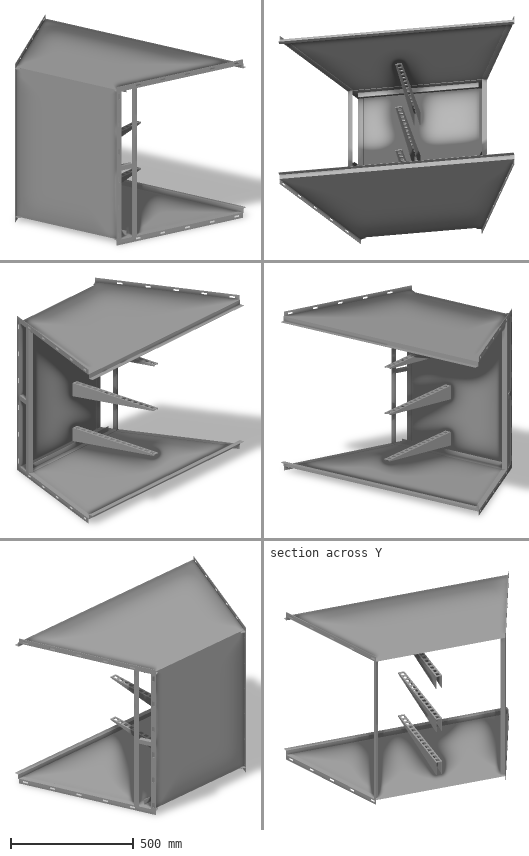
import cadquery as cq
import math

width = 977.0
depth = 593.0
height = 688.0

sheet = 1.0
steel = 2.0
leg = 22.0

front_y = -depth / 2
rear_y = depth / 2
flange_rear_y = 273.0
tip_half_width = 252.0
slant = math.atan2(width / 2 - tip_half_width, flange_rear_y - front_y)
inward = (math.cos(slant), math.sin(slant), 0)
forward = (math.sin(slant), -math.cos(slant), 0)


def side_x(y):
    """X of the left slanted side plane at a given Y."""
    return -tip_half_width - (y - front_y) * math.tan(slant)


frame_z = height / 2 - leg
sheet_inside = frame_z + steel
sheet_top = sheet_inside + sheet
frame_y = front_y + leg * math.cos(slant)
panel_back = frame_y - steel
panel_front = panel_back - sheet
lip_depth = 21.0
lip_front = rear_y - lip_depth

slot_length = 23.0
slot_width = 8.0
slot_pitch = 120.0
slot_offset = 11.0
side_slots = 5
front_slots = 6
first_slot_y = 245.0

post_leg = 21.5
post_rear_y = -206.0
mid_bar_leg = 20.0
mid_bar_top = -3.0
bar_rear_y = -203.0
bar_front_y = -227.0
bar_web_half_length = 251.0

arm_root_y = -198.0
arm_width = 27.0
arm_end_y = 231.5
arm_top_middle = -10.0
arm_pitch = 200.0
arm_tip_height = 6.0
arm_root_height = 59.0
arm_wall = 3.0
arm_slot_pitch = 30.0
arm_slot_length = 20.0
arm_slot_width = 15.0
arm_slots = 14


def angle_bar(plane, leg_x, leg_y, length):
    """L-section bar with its corner on the plane's origin; the sign of leg_y picks its side."""
    wall_y = math.copysign(steel, leg_y)
    outline = [(0, 0), (leg_x, 0), (leg_x, wall_y), (steel, wall_y), (steel, leg_y), (0, leg_y)]
    return cq.Workplane(plane).polyline(outline).close().extrude(length)


def sheet_x(y):
    """X of the left edge of the sheets, which fit between the outer legs of the flange bars."""
    return side_x(y) + steel / math.cos(slant)


def span(y_min, y_max):
    """Block as wide and tall as the part between two Y values, for trimming bar ends."""
    return cq.Workplane("XY").box(width, y_max - y_min, height).translate((0, (y_min + y_max) / 2, 0))


def make_top_sheet():
    half = width / 2
    left_edge = [(sheet_x(panel_front), panel_front), (sheet_x(flange_rear_y), flange_rear_y),
                 (-half, flange_rear_y), (-half, lip_front + sheet)]
    right_edge = [(-x, y) for x, y in reversed(left_edge)]
    outline = left_edge + right_edge
    plate = cq.Workplane("XY").workplane(offset=sheet_inside).polyline(outline).close().extrude(sheet)
    riser = (cq.Workplane("XY").box(width, sheet, lip_depth, centered=(True, False, False))
             .translate((0, lip_front, sheet_top - lip_depth)))
    tread = (cq.Workplane("XY").box(width, lip_depth, sheet, centered=(True, False, False))
             .translate((0, lip_front, sheet_top - lip_depth)))
    return plate.union(riser).union(tread)


def make_front_panel():
    return (cq.Workplane("XY").workplane(offset=-sheet_inside)
            .polyline([(sheet_x(panel_front), panel_front), (-sheet_x(panel_front), panel_front),
                       (-sheet_x(panel_back), panel_back), (sheet_x(panel_back), panel_back)]).close()
            .extrude(2 * sheet_inside))


def make_top_flange():
    overrun = leg
    start = cq.Vector(-width / 2, flange_rear_y, frame_z) - cq.Vector(*forward) * overrun
    length = (flange_rear_y - front_y) / math.cos(slant) + overrun
    bar = angle_bar(cq.Plane(start, inward, forward), leg, leg, length)
    bar = bar.intersect(span(-depth, flange_rear_y))
    for i in range(side_slots):
        y = first_slot_y - i * slot_pitch * math.cos(slant)
        face = cq.Plane((side_x(y), y, frame_z + slot_offset), forward, inward)
        bar = bar.cut(cq.Workplane(face).rect(slot_length, slot_width).extrude(2 * steel, both=True))
    return bar


def make_front_flange():
    corner_x = side_x(frame_y)
    tip = (side_x(front_y), front_y)
    tip_inside = (tip[0] + steel * inward[0], tip[1] + steel * inward[1])
    crook_y = frame_y - steel
    crook = (side_x(crook_y) + steel / math.cos(slant), crook_y)
    outline = [(corner_x, frame_y), tip, tip_inside, crook,
               (corner_x + leg, crook_y), (corner_x + leg, frame_y)]
    bar = cq.Workplane("XY").workplane(offset=-frame_z).polyline(outline).close().extrude(2 * frame_z)
    slot_y = (front_y + frame_y) / 2
    for i in range(front_slots):
        z = (i - (front_slots - 1) / 2) * slot_pitch
        face = cq.Plane((side_x(slot_y), slot_y, z), forward, inward)
        bar = bar.cut(cq.Workplane(face).rect(slot_width, slot_length).extrude(2 * steel, both=True))
    return bar


def make_post():
    corner = (side_x(post_rear_y), post_rear_y, -frame_z)
    return angle_bar(cq.Plane(corner, inward, (0, 0, 1)), post_leg, -post_leg, 2 * frame_z)


def make_mid_bar():
    start_y = post_rear_y - post_leg * math.cos(slant)
    start = (side_x(start_y), start_y, mid_bar_top)
    length = start_y - front_y
    bar = angle_bar(cq.Plane(start, inward, forward), mid_bar_leg, -mid_bar_leg, length)
    return bar.intersect(span(frame_y, flange_rear_y))


def make_side_frame():
    top = make_top_flange()
    flanges = top.union(top.mirror("XY")).union(make_front_flange())
    return flanges.union(make_post()).union(make_mid_bar())


def make_bottom_crossbar():
    inset = leg / math.cos(slant)
    front_x = side_x(bar_front_y) + inset
    rear_x = side_x(bar_rear_y) + inset
    foot = (cq.Workplane("XY").workplane(offset=-sheet_inside)
            .polyline([(front_x, bar_front_y), (-front_x, bar_front_y),
                       (-rear_x, bar_rear_y), (rear_x, bar_rear_y)]).close()
            .extrude(steel))
    web = (cq.Workplane("XY").box(2 * bar_web_half_length, steel, leg, centered=(True, False, False))
           .translate((0, bar_front_y, -sheet_inside)))
    return foot.union(web)


def make_arm(top_z):
    tip_z = top_z - arm_tip_height
    root_z = top_z - arm_root_height
    side = [(arm_root_y, top_z), (arm_end_y, top_z), (arm_end_y, tip_z), (arm_root_y, root_z)]
    arm = cq.Workplane("YZ").polyline(side).close().extrude(arm_width / 2, both=True)
    length = arm_end_y - arm_root_y
    hollow = (cq.Workplane("XY").box(arm_width - 2 * arm_wall, length, arm_root_height)
              .translate((0, arm_root_y + length / 2, top_z - arm_wall - arm_root_height / 2)))
    slots = (cq.Workplane("XY", origin=(0, arm_root_y + length / 2, top_z))
             .rarray(10, arm_slot_pitch, 1, arm_slots).rect(arm_slot_width, arm_slot_length)
             .extrude(-2 * arm_wall))
    return arm.cut(hollow).cut(slots)


top_sheet = make_top_sheet()
bottom_sheet = top_sheet.mirror("XY")
front_panel = make_front_panel()
left_frame = make_side_frame()
right_frame = left_frame.mirror("YZ")
bottom_crossbar = make_bottom_crossbar()
top_crossbar = bottom_crossbar.mirror("XY")
arms = [make_arm(arm_top_middle + i * arm_pitch) for i in (-1, 0, 1)]

result = cq.Compound.makeCompound([
    top_sheet.val(),
    bottom_sheet.val(),
    front_panel.val(),
    left_frame.val(),
    right_frame.val(),
    bottom_crossbar.val(),
    top_crossbar.val(),
    *[arm.val() for arm in arms],
])